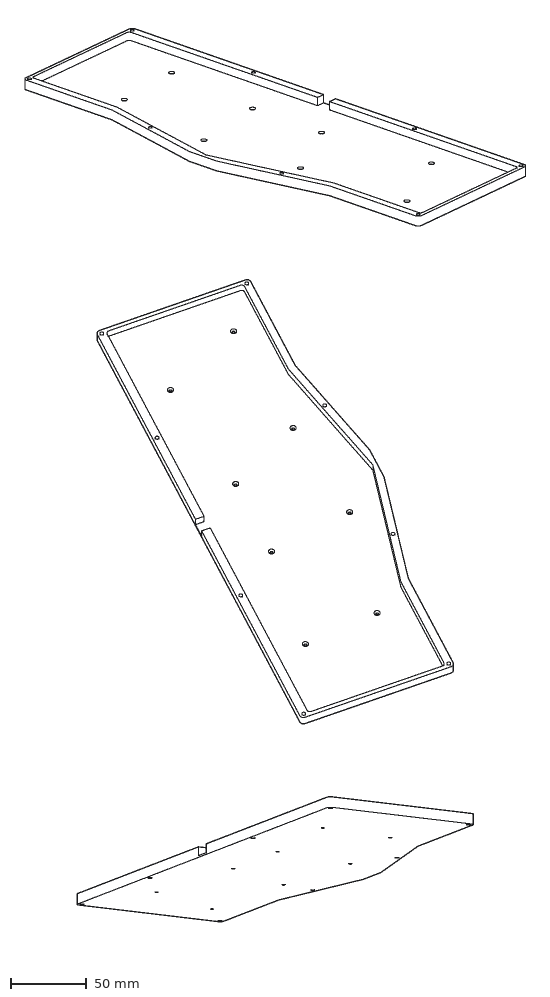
import cadquery as cq

length = 345.0
depth = 128.38
height = 7.2
floor_thickness = 1.2

side_depth = 110.4
front_break_x = 95.0
nose_half_width = 12.0
corner_radius = 2.75

side_wall = 2.8
back_wall = 6.2
front_wall_left = 5.7
front_wall_right = 5.4
pocket_tip_wall = 3.0
pocket_corner_radius = 2.0

gap_width = 10.3

rim_hole_diameter = 2.53
rim_hole_inset = 3.0
back_hole_left_x = -63.9
back_hole_right_x = 76.6
front_hole_x = 57.3
front_hole_y = -51.2

floor_hole_diameter = 1.62
countersink_diameter = 4.0
countersink_angle = 100.0
floor_hole_points = [
    (-113.4, 35.9),
    (-34.9, 26.6),
    (25.3, 26.6),
    (113.1, 35.9),
    (-108.7, -17.7),
    (-25.6, -33.6),
    (52.5, -26.4),
    (140.9, -21.4),
]

half_length = length / 2
back_y = depth / 2
nose_y = -depth / 2
front_y = back_y - side_depth
front_slope = (front_y - nose_y) / (front_break_x - nose_half_width)


def tray_body():
    outline = [
        (-half_length, back_y),
        (-half_length, front_y),
        (-front_break_x, front_y),
        (-nose_half_width, nose_y),
        (nose_half_width, nose_y),
        (front_break_x, front_y),
        (half_length, front_y),
        (half_length, back_y),
    ]
    body = cq.Workplane("XY").polyline(outline).close().extrude(height)
    corners = body.edges("|Z and (<X or >X)")
    return corners.fillet(corner_radius)


def pocket():
    inner_x = half_length - side_wall
    inner_back_y = back_y - back_wall
    left_y = front_y + front_wall_left
    right_y = front_y + front_wall_right
    tip_y = nose_y + pocket_tip_wall
    left_break_x = -(left_y - tip_y) / front_slope
    right_break_x = (right_y - tip_y) / front_slope
    outline = [
        (-inner_x, inner_back_y),
        (-inner_x, left_y),
        (left_break_x, left_y),
        (0, tip_y),
        (right_break_x, right_y),
        (inner_x, right_y),
        (inner_x, inner_back_y),
    ]
    block = (
        cq.Workplane("XY", origin=(0, 0, floor_thickness))
        .polyline(outline)
        .close()
        .extrude(height - floor_thickness)
    )
    return block.edges("|Z and (<X or >X)").fillet(pocket_corner_radius)


def cable_gap():
    return cq.Workplane("XY", origin=(0, back_y - back_wall / 2, floor_thickness)).box(
        gap_width, back_wall, height - floor_thickness, centered=(True, True, False)
    )


def rim_holes():
    corner_x = half_length - rim_hole_inset
    back_hole_y = back_y - rim_hole_inset
    points = [
        (-corner_x, back_hole_y),
        (corner_x, back_hole_y),
        (-corner_x, front_y + rim_hole_inset),
        (corner_x, front_y + rim_hole_inset),
        (back_hole_left_x, back_hole_y),
        (back_hole_right_x, back_hole_y),
        (-front_hole_x, front_hole_y),
        (front_hole_x, front_hole_y),
    ]
    return cq.Workplane("XY").pushPoints(points).circle(rim_hole_diameter / 2).extrude(height)


def drill_floor_holes(tray):
    return (
        tray.copyWorkplane(cq.Workplane("XY", origin=(0, 0, floor_thickness)))
        .pushPoints(floor_hole_points)
        .cskHole(floor_hole_diameter, countersink_diameter, countersink_angle)
    )


tray = tray_body().cut(pocket()).cut(cable_gap()).cut(rim_holes())
result = drill_floor_holes(tray)